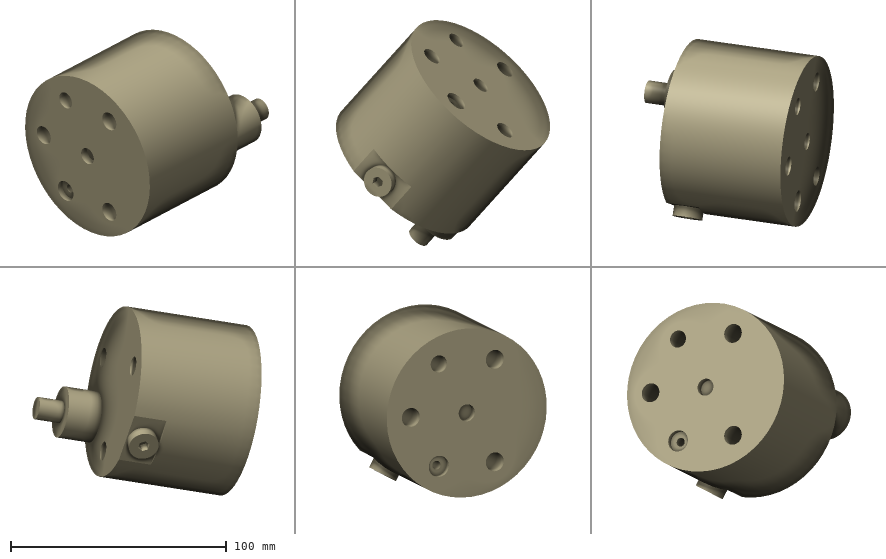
import cadquery as cq
import math

body_diameter = 80.0
body_length = 59.0

boss_diameter = 24.0
boss_length = 16.0
boss_offset = (body_diameter - boss_diameter) / 2
shaft_diameter = 10.5
overall_length = 87.0
shaft_length = overall_length - body_length - boss_length

bolt_circle_radius = 28.0
through_diameter = 9.0
through_angles = (60, 180, 300)
blind_diameter = 8.1
centre_hole_depth = 4.0
upper_hole_angle = 120
upper_hole_depth = 20.0
port_angle = 240
port_diameter = 10.0
port_depth = 3.0
port_drill_diameter = 4.1
port_drill_depth = 20.0

flat_distance = 38.0
flat_width = 15.75
plug_diameter = 14.0
plug_from_back = 7.6
plug_top = 43.0
socket_across_flats = 4.8
socket_depth = 5.0


def cylinder(diameter, start, length, x=0, z=0):
    """Cylinder along +Y from Y = start."""
    return cq.Workplane(cq.Solid.makeCylinder(
        diameter / 2, length, cq.Vector(x, start, z), cq.Vector(0, 1, 0)))


def circle_point(angle):
    """X and Z of a position on the bolt circle."""
    radians = math.radians(angle)
    return bolt_circle_radius * math.cos(radians), bolt_circle_radius * math.sin(radians)


def front_hole(part, diameter, depth, angle):
    """Cut a hole from the front face at a bolt-circle angle."""
    x, z = circle_point(angle)
    return part.cut(cylinder(diameter, 0, depth, x, z))


def radial_plane(distance):
    """Plane facing outward at the port angle; local x is tangential, local y is along Y."""
    radians = math.radians(port_angle)
    outward = cq.Vector(math.cos(radians), 0, math.sin(radians))
    tangent = cq.Vector(0, 1, 0).cross(outward)
    plug_centre = cq.Vector(0, body_length - plug_from_back, 0)
    return cq.Plane(plug_centre + outward * distance, tangent, outward)


def add_plug(part):
    """Cut the side flat, then add the round plug and its hexagonal socket."""
    flat_centre = plug_from_back - flat_width / 2
    flat_cut = (
        cq.Workplane(radial_plane(flat_distance))
        .center(0, flat_centre)
        .rect(body_diameter, flat_width)
        .extrude(body_diameter / 2)
    )
    plug = (
        cq.Workplane(radial_plane(flat_distance))
        .circle(plug_diameter / 2)
        .extrude(plug_top - flat_distance)
    )
    across_corners = socket_across_flats / math.cos(math.radians(30))
    socket = (
        cq.Workplane(radial_plane(plug_top))
        .polygon(6, across_corners)
        .extrude(-socket_depth)
    )
    return part.cut(flat_cut).union(plug).cut(socket)


result = cylinder(body_diameter, 0, body_length)
result = add_plug(result)
result = result.union(cylinder(boss_diameter, body_length, boss_length, boss_offset))
result = result.union(cylinder(shaft_diameter, body_length + boss_length, shaft_length, boss_offset))

for through_angle in through_angles:
    result = front_hole(result, through_diameter, body_length, through_angle)

result = result.cut(cylinder(blind_diameter, 0, centre_hole_depth))
result = front_hole(result, blind_diameter, upper_hole_depth, upper_hole_angle)
result = front_hole(result, port_diameter, port_depth, port_angle)
result = front_hole(result, port_drill_diameter, port_drill_depth, port_angle)